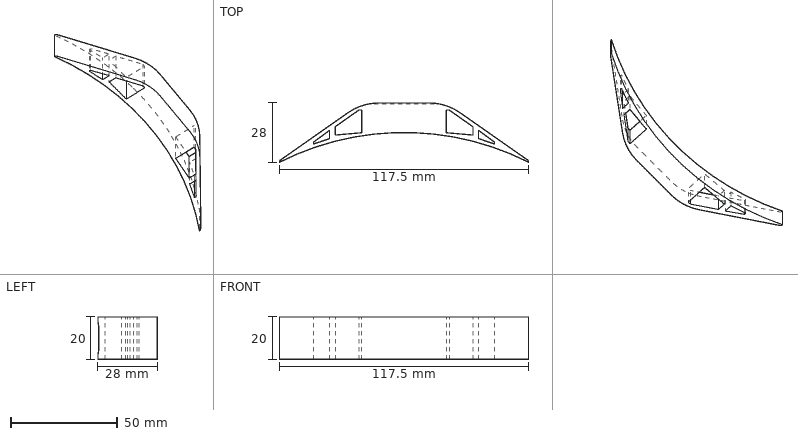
import cadquery as cq
import math

height = 20.0
inner_radius = 130.0
crown_thickness = 14.0
half_span = 58.73
crown_half_width = 12.0
shoulder_radius = 25.0
flank_angle = math.radians(35)
nose_radius = 1.5

groove_mouth_width = 15.5
groove_floor_width = 11.0
groove_depth = 0.4

large_pocket_inner_wall = 20.0
large_pocket_outer_wall = 32.4
large_pocket_roof_edge = 21.35
large_pocket_roof = 10.55
large_pocket_outer_top = 2.75
large_pocket_inner_floor = 0.0
large_pocket_outer_floor = -1.1

small_pocket_inner_wall = 35.2
small_pocket_outer_wall = 42.6
small_pocket_inner_top = 0.95
small_pocket_outer_top = -4.5
small_pocket_inner_floor = -2.8
small_pocket_outer_floor = -5.3

large_pocket = [
    (large_pocket_inner_wall, large_pocket_inner_floor),
    (large_pocket_inner_wall, large_pocket_roof),
    (large_pocket_roof_edge, large_pocket_roof),
    (large_pocket_outer_wall, large_pocket_outer_top),
    (large_pocket_outer_wall, large_pocket_outer_floor),
]
small_pocket = [
    (small_pocket_inner_wall, small_pocket_inner_floor),
    (small_pocket_inner_wall, small_pocket_inner_top),
    (small_pocket_outer_wall, small_pocket_outer_top),
    (small_pocket_outer_wall, small_pocket_outer_floor),
]

crown_y = inner_radius + crown_thickness


def arc_point(centre, radius, angle):
    """Point on an arc, at a clockwise angle from the +Y direction."""
    return (centre[0] + radius * math.sin(angle), centre[1] + radius * math.cos(angle))


def mirrored(point):
    """Reflect a point across the mid plane X = 0."""
    return (-point[0], point[1])


def body():
    """Crescent with a flat crown, rounded shoulders, straight flanks and rounded tips."""
    shoulder_centre = (crown_half_width, crown_y - shoulder_radius)
    shoulder_mid = arc_point(shoulder_centre, shoulder_radius, flank_angle / 2)
    shoulder_end = arc_point(shoulder_centre, shoulder_radius, flank_angle)

    nose_centre_x = half_span - nose_radius
    nose_start_x = nose_centre_x + nose_radius * math.sin(flank_angle)
    nose_start_y = shoulder_end[1] - (nose_start_x - shoulder_end[0]) * math.tan(flank_angle)
    nose_centre = (nose_centre_x, nose_start_y - nose_radius * math.cos(flank_angle))
    nose_start = (nose_start_x, nose_start_y)
    nose_side = (half_span, nose_centre[1])

    centre_distance = math.hypot(*nose_centre)
    cos_tip_offset = (centre_distance**2 + inner_radius**2 - nose_radius**2) / (
        2 * centre_distance * inner_radius
    )
    tip_angle = math.atan2(nose_centre[0], nose_centre[1]) + math.acos(cos_tip_offset)
    tip = arc_point((0, 0), inner_radius, tip_angle)

    return (
        cq.Workplane("XY")
        .moveTo(*mirrored((crown_half_width, crown_y)))
        .lineTo(crown_half_width, crown_y)
        .threePointArc(shoulder_mid, shoulder_end)
        .lineTo(*nose_start)
        .threePointArc(nose_side, tip)
        .threePointArc((0, inner_radius), mirrored(tip))
        .threePointArc(mirrored(nose_side), mirrored(nose_start))
        .lineTo(*mirrored(shoulder_end))
        .threePointArc(mirrored(shoulder_mid), mirrored((crown_half_width, crown_y)))
        .close()
        .extrude(height)
    )


def crown_groove():
    """Groove with sloping sides, running along X across the crown at mid height."""
    floor_y = crown_y - groove_depth
    middle = height / 2
    section = [
        (crown_y, middle - groove_mouth_width / 2),
        (floor_y, middle - groove_floor_width / 2),
        (floor_y, middle + groove_floor_width / 2),
        (crown_y, middle + groove_mouth_width / 2),
    ]
    return cq.Workplane("YZ").polyline(section).close().extrude(half_span, both=True)


def pocket(corners, side):
    """Full-height pocket on the side with X sign `side`."""
    points = [(side * x, inner_radius + y) for x, y in corners]
    return cq.Workplane("XY").polyline(points).close().extrude(height)


result = body().cut(crown_groove())
for side in (-1, 1):
    for corners in (large_pocket, small_pocket):
        result = result.cut(pocket(corners, side))